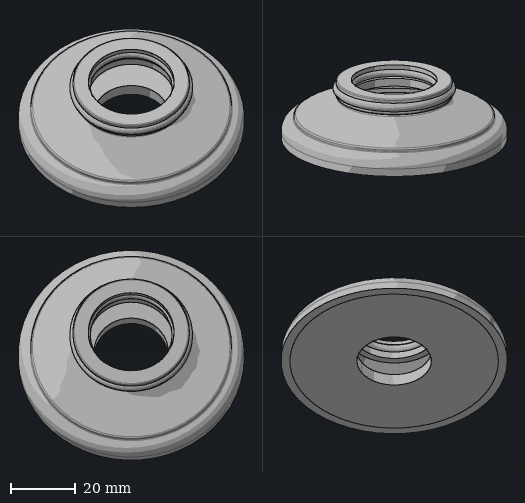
import cadquery as cq
import math

outer_radius = 35.0
total_height = 19.2

step_radius = 31.0
step_top_z = 7.8
step_round = 0.5
step_root_round = 0.2

rim_straight_height = 2.5
rim_round = outer_radius - step_radius
rim_top_z = rim_straight_height + rim_round
step_root_radius = step_radius + step_root_round
step_root_z = rim_straight_height + math.sqrt(rim_round**2 - step_root_round**2)

flare_top_radius = 17.7
flare_top_z = 13.45
neck_radius = 17.2
flare_middle = (23.2, 9.8)

collar_radius = 18.0
collar_bottom_z = 14.0
collar_round = 0.35
bead_z = 16.5
bead_height = 2.8
bead_radius = 19.0

bore_radius = 13.2
bore_bottom_z = 12.2
hollow_top_radius = 15.4
hollow_wall_radius = 29.4
hollow_wall_height = 1.4

ring_inner_radius = 12.6
ring_section_radius = 1.25
ring_z = 16.45
ring_center_radius = ring_inner_radius + ring_section_radius
groove_radius = ring_center_radius + ring_section_radius
groove_bottom_z = 14.8
groove_top_z = ring_z + ring_section_radius

plate_radius = 32.2
plate_height = 4.2
plate_hole_radius = 11.5


def turn(profile):
    """Revolve a closed (radius, z) profile fully around the Z axis."""
    return profile.close().revolve(360, (0, 0, 0), (0, 1, 0))


def round_middle(corner_radius, corner_z, size, into_radius, into_z):
    """Middle point of a quarter round at a corner; each direction is +1 or -1 from the corner to the arc."""
    inset = size * (1 - math.sqrt(0.5))
    return (corner_radius + into_radius * inset, corner_z + into_z * inset)


def make_shell_blank():
    """Solid escutcheon outline: rim, step, flare and beaded collar."""
    profile = (
        cq.Workplane("XZ")
        .lineTo(outer_radius, 0)
        .lineTo(outer_radius, rim_straight_height)
        .threePointArc(
            round_middle(outer_radius, rim_top_z, rim_round, -1, -1),
            (step_root_radius, step_root_z),
        )
        .threePointArc(
            round_middle(step_radius, step_root_z, step_root_round, 1, 1),
            (step_radius, step_root_z + step_root_round),
        )
        .lineTo(step_radius, step_top_z - step_round)
        .threePointArc(
            round_middle(step_radius, step_top_z, step_round, -1, -1),
            (step_radius - step_round, step_top_z),
        )
        .threePointArc(flare_middle, (flare_top_radius, flare_top_z))
        .lineTo(neck_radius, collar_bottom_z)
        .lineTo(collar_radius - collar_round, collar_bottom_z)
        .threePointArc(
            round_middle(collar_radius, collar_bottom_z, collar_round, -1, 1),
            (collar_radius, collar_bottom_z + collar_round),
        )
        .lineTo(collar_radius, bead_z - bead_height / 2)
        .threePointArc((bead_radius, bead_z), (collar_radius, bead_z + bead_height / 2))
        .lineTo(collar_radius, total_height - collar_round)
        .threePointArc(
            round_middle(collar_radius, total_height, collar_round, -1, -1),
            (collar_radius - collar_round, total_height),
        )
        .lineTo(0, total_height)
    )
    return turn(profile)


def make_shell_opening():
    """Everything removed from the shell: plate recess, hollow, bore and ring groove."""
    profile = (
        cq.Workplane("XZ")
        .lineTo(plate_radius, 0)
        .lineTo(plate_radius, plate_height)
        .lineTo(hollow_wall_radius, plate_height)
        .lineTo(hollow_wall_radius, plate_height + hollow_wall_height)
        .lineTo(hollow_top_radius, bore_bottom_z)
        .lineTo(bore_radius, bore_bottom_z)
        .lineTo(bore_radius, groove_bottom_z)
        .lineTo(groove_radius, groove_bottom_z)
        .lineTo(groove_radius, groove_top_z)
        .lineTo(bore_radius, groove_top_z)
        .lineTo(bore_radius, total_height)
        .lineTo(0, total_height)
    )
    return turn(profile)


def make_shell():
    """Hollow escutcheon body."""
    return make_shell_blank().cut(make_shell_opening())


def make_sealing_ring():
    """Round-section ring seated in the bore groove."""
    section = cq.Workplane("XZ").center(ring_center_radius, ring_z).circle(ring_section_radius)
    return section.revolve(360, (-ring_center_radius, 0, 0), (-ring_center_radius, 1, 0))


def make_base_plate():
    """Flat disc with a central hole, flush with the foot of the shell."""
    return cq.Workplane("XY").circle(plate_radius).circle(plate_hole_radius).extrude(plate_height)


shell = make_shell()
sealing_ring = make_sealing_ring()
base_plate = make_base_plate()

result = cq.Compound.makeCompound([shell.val(), sealing_ring.val(), base_plate.val()])